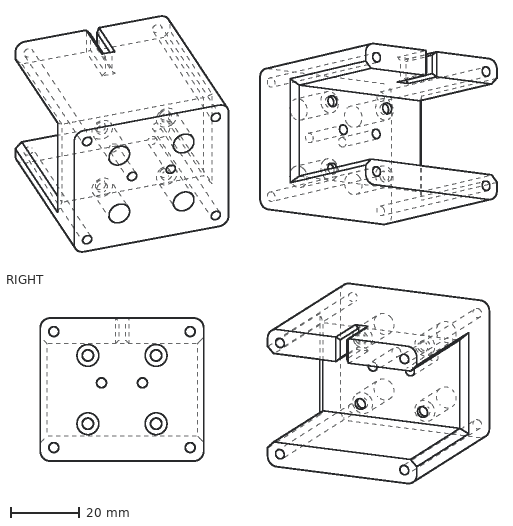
import cadquery as cq

length = 52.0
width = 48.0
height = 42.0
corner_radius = 3.0

arm_thickness = 7.5
opening_depth = 35.2
opening_chamfer = 2.0
opening_height = height - 2 * arm_thickness

slot_length = 14.0
slot_width = 2.05
slot_chamfer = 1.0

arm_hole_diameter = 2.8
arm_hole_spacing_y = 40.0
arm_hole_spacing_z = 34.0
mount_hole_diameter = 3.2
mount_hole_spacing = 20.0
mount_counterbore_diameter = 6.4
mount_floor_thickness = 1.5
cable_hole_diameter = 2.8
cable_hole_spacing = 12.0
cable_hole_z = 2.0


def make_block():
    """Block with its four long edges rounded."""
    block = cq.Workplane("XY").box(length, width, height, centered=(False, True, True))
    return block.edges("|X").fillet(corner_radius)


def opening_profile(side_y, growth):
    """Opening outline at the given Y, enlarged by growth on its three walls."""
    half_height = opening_height / 2 + growth
    back = opening_depth + growth
    return [
        cq.Vector(x, side_y, z)
        for x, z in [(0, -half_height), (back, -half_height), (back, half_height), (0, half_height)]
    ]


def make_opening():
    """Opening right across Y, flared at both sides by its chamfers."""
    opening = cq.Workplane("XY").box(opening_depth, width, opening_height, centered=(False, True, True))
    for side in (-1, 1):
        outer = cq.Wire.makePolygon(opening_profile(side * width / 2, opening_chamfer), close=True)
        inner_y = side * (width / 2 - opening_chamfer)
        inner = cq.Wire.makePolygon(opening_profile(inner_y, 0), close=True)
        opening = opening.union(cq.Workplane(cq.Solid.makeLoft([outer, inner], True)))
    return opening


def make_slot():
    """Slot through the upper arm, flared at its mouth, top and bottom."""
    arm_bottom = opening_height / 2
    arm_top = height / 2
    slot = cq.Workplane("XY", origin=(0, 0, arm_bottom)).box(
        slot_length, slot_width, arm_thickness, centered=(False, True, False)
    )
    half_width = slot_width / 2
    flared_half_width = half_width + slot_chamfer

    def flare(plane, origin, depth, distance):
        return (
            cq.Workplane(plane, origin=origin)
            .polyline([
                (-flared_half_width, 0),
                (flared_half_width, 0),
                (half_width, depth),
                (-half_width, depth),
            ])
            .close()
            .extrude(distance)
        )

    top_flare = flare("YZ", (0, 0, arm_top), -slot_chamfer, slot_length)
    bottom_flare = flare("YZ", (0, 0, arm_bottom), slot_chamfer, slot_length)
    mouth_plane = cq.Plane(origin=(0, 0, arm_bottom), xDir=(0, 1, 0), normal=(0, 0, 1))
    mouth_flare = flare(mouth_plane, None, -slot_chamfer, arm_thickness)
    return slot.union(top_flare).union(bottom_flare).union(mouth_flare)


def make_holes(diameter, spacing_y, z_positions, start_x=0):
    """Hole cutters from start_x to the closed end, a pair across Y at each height."""
    points = [(side * spacing_y / 2, z) for side in (-1, 1) for z in z_positions]
    return (
        cq.Workplane("YZ", origin=(start_x, 0, 0))
        .pushPoints(points)
        .circle(diameter / 2)
        .extrude(length - start_x)
    )


arm_holes = make_holes(
    arm_hole_diameter, arm_hole_spacing_y, (-arm_hole_spacing_z / 2, arm_hole_spacing_z / 2)
)
mount_heights = (-mount_hole_spacing / 2, mount_hole_spacing / 2)
mount_holes = make_holes(mount_hole_diameter, mount_hole_spacing, mount_heights)
mount_counterbores = make_holes(
    mount_counterbore_diameter,
    mount_hole_spacing,
    mount_heights,
    opening_depth + mount_floor_thickness,
)
cable_holes = make_holes(cable_hole_diameter, cable_hole_spacing, (cable_hole_z,))

result = (
    make_block()
    .cut(make_opening())
    .cut(make_slot())
    .cut(arm_holes)
    .cut(mount_holes)
    .cut(mount_counterbores)
    .cut(cable_holes)
)